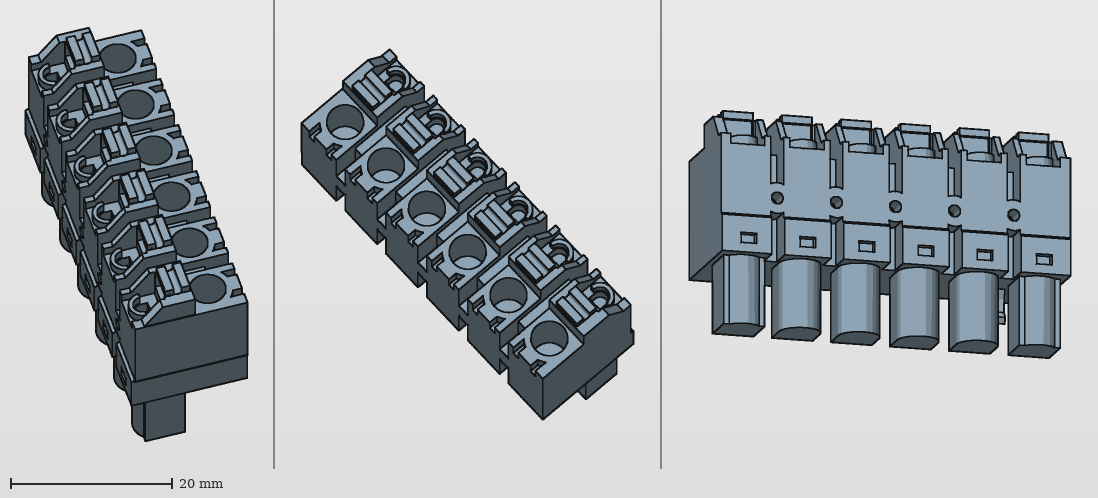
import cadquery as cq


POLES = 6
PITCH = 7.62
POLE_WIDTH = 5.97
POLE_X = [(i - (POLES - 1) / 2) * PITCH for i in range(POLES)]
GAP_X = [x + PITCH / 2 for x in POLE_X[:-1]]
GAP_WIDTH = PITCH - POLE_WIDTH

DEPTH = 15.05
FRONT_Y = 0.43
FOOT_TOP = 4.65
FOOT_CHAMFER_TOP = 4.96
SHOULDER_Z = 15.2
TOP_Z = 18.2
RIDGE_FRONT = 4.05
RIDGE_SLOPE_FOOT = 1.67
RIDGE_BACK = 8.26
END_OVERHANG = 3.425
LEFT_X = POLE_X[0] - END_OVERHANG
RIGHT_X = POLE_X[-1] + END_OVERHANG
END_COVER = 0.09

WEB_FRONT = 3.58
WEB_BACK = 11.95
WEB_TOP = 13.68
BRIDGE_Z = 7.34
BRIDGE_RADIUS = 1.97
BRIDGE_HOLE_RADIUS = 0.74
BRIDGE_HOLE_DEPTH = WEB_FRONT - FRONT_Y

CAVITY_WIDTH = 4.4
CAVITY_FLOOR = 13.97
CAVITY_BACK = 4.72
COLLAR_Y = 2.49
COLLAR_TOP = SHOULDER_Z
COLLAR_RADIUS = 1.75
COLLAR_BORE_RADIUS = 1.17
KEYHOLE_RADIUS = 1.0
KEYHOLE_BACK = 3.42
KEYHOLE_DEPTH = 2.0

WINDOW_WIDTH = 2.0
WINDOW_BOTTOM = 1.2
WINDOW_HEIGHT = 1.3
WINDOW_DEPTH = 1.0

WIRE_Y = 10.92
WIRE_RADIUS = 2.28
WIRE_DEPTH = 8.0
RELIEF_INNER_X = 1.14
RELIEF_OUTER_X = 2.05
RELIEF_WALL_RADIUS = 3.15
RELIEF_DEPTH = 2.0

SOCKET_LENGTH = 8.82
SOCKET_RADIUS = 2.64
SOCKET_AXIS_Y = 3.85
SOCKET_BACK = 7.2
SOCKET_CORNER_Y = 2.05

LATCH_WIDTH = 1.22
LATCH_OUTLINE = [
    (10.75, 0),
    (10.04, -3.14),
    (9.6, -3.75),
    (8.68, -4.45),
    (8.4, -3.65),
    (8.97, -2.9),
    (8.97, -1.2),
    (8.6, 0),
]

LEVER_WIDTH = 3.85
LEVER_BOTTOM = 15.58
LEVER_TOP = 19.25
LEVER_BACK = 8.05
LEVER_FACE = 5.45
LIP_FRONT = 4.85
LIP_BOTTOM = 18.3
GROOVE_Y = (LIP_FRONT + LEVER_BACK) / 2
GROOVE_RADIUS = 0.5
GROOVE_AXIS_Z = 18.6


def box(x_range, y_range, z_range):
    """Axis-aligned box between the given limits."""
    size = [high - low for low, high in (x_range, y_range, z_range)]
    corner = (x_range[0], y_range[0], z_range[0])
    return cq.Workplane("XY").box(*size, centered=False).translate(corner)


def centred_box(x, width, y_range, z_range):
    """Box of the given width, centred on x."""
    return box((x - width / 2, x + width / 2), y_range, z_range)


def upright(x, y, radius, z_range):
    """Vertical cylinder."""
    height = z_range[1] - z_range[0]
    return cq.Workplane("XY").center(x, y).circle(radius).extrude(height).translate((0, 0, z_range[0]))


def along_y(x, z, radius, y_range):
    """Cylinder parallel to Y; the XZ plane extrudes toward -Y, so it starts at the back."""
    length = y_range[1] - y_range[0]
    return cq.Workplane("XZ").center(x, z).circle(radius).extrude(length).translate((0, y_range[1], 0))


def housing_block():
    """Side profile swept over the full length, with the thin cover on the +X end."""
    profile = [
        (0, 0),
        (DEPTH, 0),
        (DEPTH, SHOULDER_Z),
        (RIDGE_BACK, SHOULDER_Z),
        (RIDGE_BACK, TOP_Z),
        (RIDGE_FRONT, TOP_Z),
        (RIDGE_SLOPE_FOOT, SHOULDER_Z),
        (FRONT_Y, SHOULDER_Z),
        (FRONT_Y, FOOT_CHAMFER_TOP),
        (0, FOOT_TOP),
    ]
    block = cq.Workplane("YZ").polyline(profile).close().extrude(RIGHT_X - LEFT_X)
    block = block.translate((LEFT_X, 0, 0))
    cover = box((RIGHT_X, RIGHT_X + END_COVER), (FRONT_Y, DEPTH), (FOOT_TOP, SHOULDER_Z))
    return block.union(cover)


def gap_cut(x):
    """Clearance between two poles: open above the web, slotted front and back around a round bridge."""
    above_web = centred_box(x, GAP_WIDTH, (0, DEPTH), (WEB_TOP, TOP_Z))
    front_slot = centred_box(x, GAP_WIDTH, (0, WEB_FRONT), (0, TOP_Z))
    back_slot = centred_box(x, GAP_WIDTH, (WEB_BACK, DEPTH), (0, TOP_Z))
    bridge = along_y(x, BRIDGE_Z, BRIDGE_RADIUS, (FRONT_Y, DEPTH))
    hole = along_y(x, BRIDGE_Z, BRIDGE_HOLE_RADIUS, (FRONT_Y, FRONT_Y + BRIDGE_HOLE_DEPTH))
    return above_web.union(front_slot).union(back_slot).cut(bridge).union(hole)


def cavity_cut(x):
    """Front cavity, leaving the half-round collar standing on its floor, with a keyhole in the floor."""
    cavity = centred_box(x, CAVITY_WIDTH, (0, CAVITY_BACK), (CAVITY_FLOOR, TOP_Z))
    collar_heights = (CAVITY_FLOOR, COLLAR_TOP)
    collar = upright(x, COLLAR_Y, COLLAR_RADIUS, collar_heights)
    collar = collar.cut(upright(x, COLLAR_Y, COLLAR_BORE_RADIUS, collar_heights))
    collar = collar.intersect(centred_box(x, CAVITY_WIDTH, (0, COLLAR_Y), collar_heights))
    keyhole_heights = (CAVITY_FLOOR - KEYHOLE_DEPTH, CAVITY_FLOOR)
    keyhole = upright(x, COLLAR_Y, KEYHOLE_RADIUS, keyhole_heights)
    keyhole = keyhole.union(centred_box(x, 2 * KEYHOLE_RADIUS, (COLLAR_Y, KEYHOLE_BACK), keyhole_heights))
    return cavity.cut(collar).union(keyhole)


def lever_pocket_cut(x):
    """Pocket that holds the push lever, open to the front cavity and at the top."""
    return centred_box(x, LEVER_WIDTH, (CAVITY_BACK, LEVER_BACK), (LEVER_BOTTOM, TOP_Z))


def wire_entry_cut(x):
    """Round wire entry, and two relief notches at the back edge that follow its wall."""
    entry = upright(x, WIRE_Y, WIRE_RADIUS, (SHOULDER_Z - WIRE_DEPTH, SHOULDER_Z))
    relief_heights = (SHOULDER_Z - RELIEF_DEPTH, SHOULDER_Z)
    reliefs = centred_box(x, 2 * RELIEF_OUTER_X, (WIRE_Y, DEPTH), relief_heights)
    reliefs = reliefs.cut(centred_box(x, 2 * RELIEF_INNER_X, (WIRE_Y, DEPTH), relief_heights))
    reliefs = reliefs.cut(upright(x, WIRE_Y, RELIEF_WALL_RADIUS, relief_heights))
    return entry.union(reliefs)


def foot_window_cut(x):
    """Small rectangular window in the front of the foot."""
    heights = (WINDOW_BOTTOM, WINDOW_BOTTOM + WINDOW_HEIGHT)
    return centred_box(x, WINDOW_WIDTH, (0, WINDOW_DEPTH), heights)


def socket(x, is_end):
    """Plug socket with a round front; the end sockets also have square front corners."""
    heights = (-SOCKET_LENGTH, 0)
    front_of_sides = SOCKET_CORNER_Y if is_end else SOCKET_AXIS_Y
    body = centred_box(x, 2 * SOCKET_RADIUS, (front_of_sides, SOCKET_BACK), heights)
    return body.union(upright(x, SOCKET_AXIS_Y, SOCKET_RADIUS, heights))


def latch(x_start):
    """Latch hook hanging below the housing."""
    hook = cq.Workplane("YZ").polyline(LATCH_OUTLINE).close().extrude(LATCH_WIDTH)
    return hook.translate((x_start, 0, 0))


def make_housing():
    body = housing_block()
    for x in GAP_X:
        body = body.cut(gap_cut(x))
    for x in POLE_X:
        body = body.cut(cavity_cut(x))
        body = body.cut(lever_pocket_cut(x))
        body = body.cut(wire_entry_cut(x))
        body = body.cut(foot_window_cut(x))
        body = body.union(socket(x, x in (POLE_X[0], POLE_X[-1])))
    body = body.union(latch(POLE_X[0] + SOCKET_RADIUS))
    body = body.union(latch(POLE_X[-1] - SOCKET_RADIUS - LATCH_WIDTH))
    return body


def make_lever(x):
    """Push lever: a block with an overhanging front lip and a round-bottomed groove across its top."""
    block = centred_box(x, LEVER_WIDTH, (LEVER_FACE, LEVER_BACK), (LEVER_BOTTOM, LEVER_TOP))
    lip = centred_box(x, LEVER_WIDTH, (LIP_FRONT, LEVER_FACE), (LIP_BOTTOM, LEVER_TOP))
    groove_sides = (GROOVE_Y - GROOVE_RADIUS, GROOVE_Y + GROOVE_RADIUS)
    groove = centred_box(x, LEVER_WIDTH, groove_sides, (GROOVE_AXIS_Z, LEVER_TOP))
    groove_floor = cq.Workplane("YZ").center(GROOVE_Y, GROOVE_AXIS_Z).circle(GROOVE_RADIUS)
    groove_floor = groove_floor.extrude(LEVER_WIDTH).translate((x - LEVER_WIDTH / 2, 0, 0))
    return block.union(lip).cut(groove).cut(groove_floor)


housing = make_housing()
levers = [make_lever(x) for x in POLE_X]

result = cq.Compound.makeCompound([housing.val(), *[lever.val() for lever in levers]])